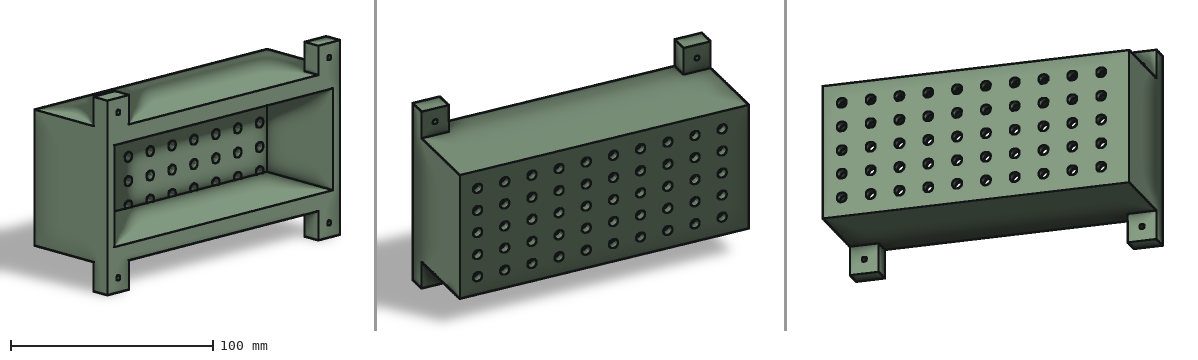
import cadquery as cq

length = 160.0
depth = 52.0
overall_height = 100.0

lug_size = 15.0
lug_thickness = 10.0
lug_hole_diameter = 2.5

body_height = overall_height - 2 * lug_size

front_wall = 5.0
end_wall = 5.0
top_wall = 8.8

hole_diameter = 5.0
hole_columns = 10
hole_rows = 5
column_pitch = 15.0
row_pitch = 12.5
end_margin = 10.0


def make_body():
    """Rectangular box centred on Y and Z, with its front face at X = 0."""
    return cq.Workplane("XY").box(depth, length, body_height, centered=(False, True, True))


def make_cavity():
    """Rectangular pocket that leaves the front wall and the side walls."""
    cavity = cq.Workplane("XY").box(
        depth - front_wall,
        length - 2 * end_wall,
        body_height - 2 * top_wall,
        centered=(False, True, True),
    )
    return cavity.translate((front_wall, 0, 0))


def make_lug(y_side, z_side):
    """Drilled square lug above or below one end of the body, flush with the back."""
    y_center = y_side * (length - lug_size) / 2
    z_center = z_side * (overall_height - lug_size) / 2
    return (
        cq.Workplane("YZ", origin=(depth - lug_thickness, 0, 0))
        .center(y_center, z_center)
        .rect(lug_size, lug_size)
        .circle(lug_hole_diameter / 2)
        .extrude(lug_thickness)
    )


def make_front_holes():
    """Cylinders that pierce the front wall only."""
    first_y = length / 2 - end_margin
    first_z = -row_pitch * (hole_rows - 1) / 2
    centers = [
        (first_y - column * column_pitch, first_z + row * row_pitch)
        for column in range(hole_columns)
        for row in range(hole_rows)
    ]
    return (
        cq.Workplane("YZ")
        .pushPoints(centers)
        .circle(hole_diameter / 2)
        .extrude(front_wall)
    )


result = make_body().cut(make_cavity()).cut(make_front_holes())
for y_side in (-1, 1):
    for z_side in (-1, 1):
        result = result.union(make_lug(y_side, z_side))